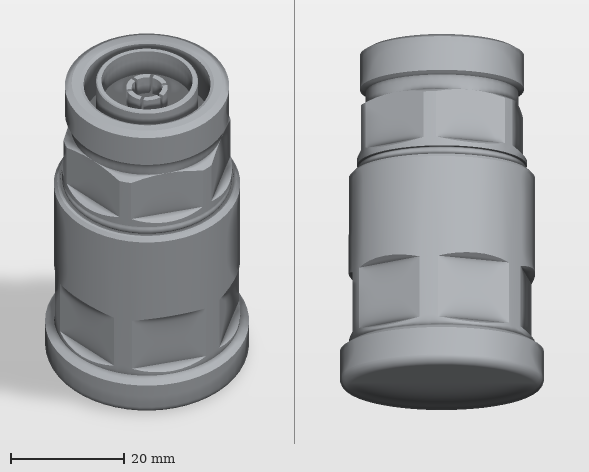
import cadquery as cq
import math

total_height = 61.45
flat_count = 6
bevel_angle = 30.0

flange_radius = 18.0
flange_edge_radius = 1.5
flange_side_top = 6.5
sleeve_radius = 16.45
sleeve_base = 7.5
sleeve_top = 38.55
sleeve_chamfer = 0.6
sleeve_flat_distance = 15.0
sleeve_flat_bottom = 8.9
sleeve_flat_top = 19.85

seal_radius = 15.0
seal_section_radius = 1.0
seal_top = 40.25
seal_inner_radius = seal_radius - 2 * seal_section_radius
recess_radius = 15.35
recess_floor = seal_top - 2 * seal_section_radius

hex_radius = 15.0
hex_flat_distance = 13.5
hex_flat_bottom = 41.9
hex_top = 51.0
neck_radius = 13.5
ring_radius = 14.5
ring_bottom = 53.5
ring_top = 60.9
ring_top_bevel = 1.2
ring_mouth_bevel = 0.6
ring_bore_radius = 11.2
ring_bore_floor = 52.6

tube_radius = 9.0
tube_bore_radius = 8.05
tube_edge_chamfer = 0.2
insulator_face = 56.3
pin_radius = 3.65
pin_bore_radius = 2.7
pin_top = 59.9
pin_slot_width = 0.6
pin_slot_count = 6


def bevel_height(width):
    """Axial height of a bevel that spans the given radial width."""
    return width * math.tan(math.radians(bevel_angle))


def spin(profile):
    """Revolve a closed radius-height profile about the Z axis."""
    return profile.close().revolve(360, (0, 0, 0), (0, 1, 0))


def flat_cutters(flat_distance, bottom, top, open_top=False):
    """Cutting blocks outside the flats; ends slope away from each flat, or the top stays level."""
    depth = flange_radius - flat_distance
    slope = bevel_height(depth)
    top_slope = 0 if open_top else slope
    block = (
        cq.Workplane("YZ")
        .moveTo(flat_distance, bottom)
        .lineTo(flat_distance + depth, bottom - slope)
        .lineTo(flat_distance + depth, top + top_slope)
        .lineTo(flat_distance, top)
        .close()
        .extrude(flange_radius, both=True)
    )
    step = 360 / flat_count
    return [block.rotate((0, 0, 0), (0, 0, 1), i * step) for i in range(flat_count)]


def make_back_nut():
    rim = flange_radius - flange_edge_radius
    nut = spin(
        cq.Workplane("XZ")
        .lineTo(rim, 0)
        .radiusArc((flange_radius, flange_edge_radius), -flange_edge_radius)
        .lineTo(flange_radius, flange_side_top)
        .lineTo(sleeve_radius, sleeve_base)
        .lineTo(sleeve_radius, sleeve_top - sleeve_chamfer)
        .lineTo(sleeve_radius - sleeve_chamfer, sleeve_top)
        .lineTo(recess_radius, sleeve_top)
        .lineTo(recess_radius, recess_floor)
        .lineTo(0, recess_floor)
    )
    for cutter in flat_cutters(sleeve_flat_distance, sleeve_flat_bottom, sleeve_flat_top):
        nut = nut.cut(cutter)
    return nut


def make_seal_ring():
    section_center = (seal_radius - seal_section_radius, seal_top - seal_section_radius)
    return (
        cq.Workplane("XZ")
        .moveTo(*section_center)
        .circle(seal_section_radius)
        .revolve(360, (0, 0, 0), (0, 1, 0))
    )


def make_front_shell():
    """Hexagon, neck and hollow coupling ring, standing on the recess floor."""
    hex_cone = bevel_height(hex_radius - neck_radius)
    shell = spin(
        cq.Workplane("XZ")
        .moveTo(0, recess_floor)
        .lineTo(seal_inner_radius, recess_floor)
        .lineTo(seal_inner_radius, seal_top)
        .lineTo(hex_radius, seal_top)
        .lineTo(hex_radius, hex_top - hex_cone)
        .lineTo(neck_radius, hex_top)
        .lineTo(neck_radius, ring_bottom)
        .lineTo(ring_radius, ring_bottom + bevel_height(ring_radius - neck_radius))
        .lineTo(ring_radius, ring_top - bevel_height(ring_top_bevel))
        .lineTo(ring_radius - ring_top_bevel, ring_top)
        .lineTo(ring_bore_radius + ring_mouth_bevel, ring_top)
        .lineTo(ring_bore_radius, ring_top - bevel_height(ring_mouth_bevel))
        .lineTo(ring_bore_radius, ring_bore_floor)
        .lineTo(0, ring_bore_floor)
    )
    for cutter in flat_cutters(hex_flat_distance, hex_flat_bottom, hex_top, open_top=True):
        shell = shell.cut(cutter)
    return shell


def make_contacts():
    """Outer contact tube, insulator and slotted center contact."""
    tube = spin(
        cq.Workplane("XZ")
        .moveTo(0, ring_bore_floor)
        .lineTo(tube_radius, ring_bore_floor)
        .lineTo(tube_radius, total_height - tube_edge_chamfer)
        .lineTo(tube_radius - tube_edge_chamfer, total_height)
        .lineTo(tube_bore_radius, total_height)
        .lineTo(tube_bore_radius, insulator_face)
        .lineTo(0, insulator_face)
    )
    pin_height = pin_top - insulator_face
    pin = (
        cq.Workplane("XY", origin=(0, 0, insulator_face))
        .circle(pin_radius)
        .circle(pin_bore_radius)
        .extrude(pin_height)
    )
    slot = (
        cq.Workplane("XY", origin=(0, 0, insulator_face))
        .rect(2 * tube_radius, pin_slot_width)
        .extrude(pin_height)
    )
    for i in range(pin_slot_count // 2):
        pin = pin.cut(slot.rotate((0, 0, 0), (0, 0, 1), i * 360 / pin_slot_count))
    return tube.union(pin)


def make_front_body():
    return make_front_shell().union(make_contacts())


back_nut = make_back_nut()
seal_ring = make_seal_ring()
front_body = make_front_body()

result = cq.Compound.makeCompound([back_nut.val(), seal_ring.val(), front_body.val()])